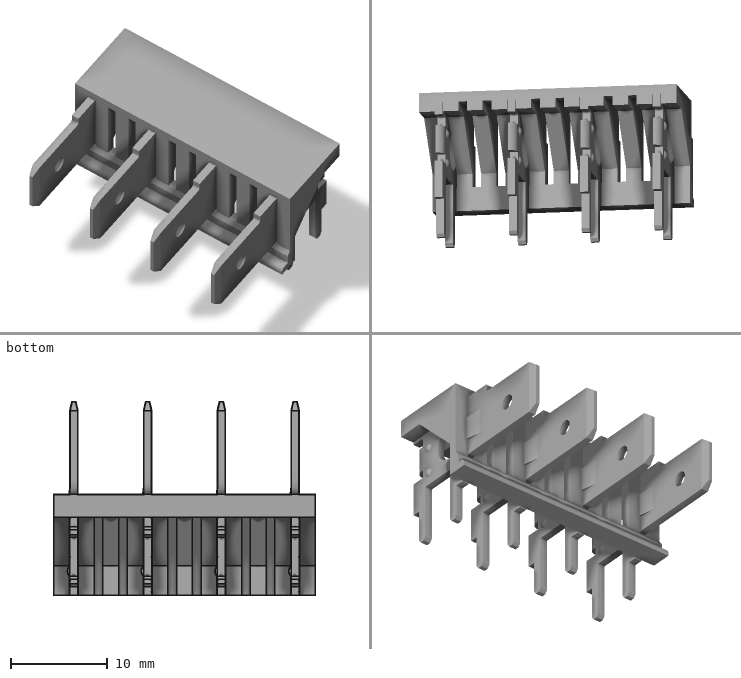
import cadquery as cq
import math


length = 26.98
housing_height = 10.9
housing_depth = 9.0
roof_end_height = 2.0
wall_thickness = 0.95
brace_start = 3.05
step_top = 2.48
step_height = 0.55
step_depth = 0.38
toe_reach = 10.45
toe_height = 0.85
toe_radius = 0.5

slot_count = 10
slot_pitch = 2.54
slot_width = 0.92
slot_top = 9.87
slots_per_terminal = 3

plate_thickness = 0.84
plate_bottom = -0.1
plate_front = housing_depth - wall_thickness
plate_hole_diameter = 4.0
plate_hole_forward = 6.0
pin_tip = -4.1
pin_width = 1.05
rear_pin_start = 0.92
crotch_width = 4.05
crotch_height = 2.4
pin_chamfer_width = 0.27
pin_chamfer_height = 0.35

notch_depth = 1.55
notch_bottom = 3.72
notch_top = 8.6
notch_radius = 0.22
tab_bottom = 4.67
tab_top = 7.55
tab_bend_start = 1.25

bump_diameter = 1.0
bump_height = 0.25
bump_forward = 2.5
bump_spacing = 3.08
bump_middle = 5.45

blade_bottom = 2.78
blade_top = 8.98
blade_middle = (blade_bottom + blade_top) / 2
blade_tip = 20.0
blade_tip_length = 0.95
blade_corner = 0.73
blade_bevel = 0.22
blade_hole_diameter = 1.65
blade_hole_forward = 15.45
shoulder_end = 11.98
shoulder_radius = 0.25

barb_start = 9.07
barb_end = 11.1
barb_height = 0.25
barb_start_width = 2.62
barb_end_width = 3.02

arc_middle_inset = 1 - math.sqrt(0.5)


def slot_x(index):
    """X of the middle of a slot, counted from the -X end."""
    return (index - (slot_count - 1) / 2) * slot_pitch


def side_plane(x):
    """Plane at x with axes (forward, up) that extrudes toward -X."""
    return cq.Workplane(cq.Plane(origin=(x, 0, 0), xDir=(0, -1, 0), normal=(-1, 0, 0)))


def side_block(forward_start, forward_end, bottom, top, width):
    """Rectangular block centred on X = 0."""
    block = side_plane(0).moveTo(forward_start, bottom)
    block = block.lineTo(forward_end, bottom).lineTo(forward_end, top).lineTo(forward_start, top)
    return block.close().extrude(width / 2, both=True)


def make_housing():
    roof_underside = housing_height - roof_end_height
    brace_bottom = roof_underside - (plate_front - brace_start)
    step_front = housing_depth + step_depth
    arc_offset = toe_radius * arc_middle_inset
    body = (
        side_plane(0)
        .moveTo(0, housing_height)
        .lineTo(housing_depth, housing_height)
        .lineTo(housing_depth, step_top)
        .lineTo(step_front, step_top - step_height)
        .lineTo(step_front, toe_height)
        .lineTo(toe_reach - toe_radius, toe_height)
        .threePointArc(
            (toe_reach - arc_offset, toe_height - arc_offset),
            (toe_reach, toe_height - toe_radius),
        )
        .lineTo(toe_reach, 0)
        .lineTo(plate_front, 0)
        .lineTo(plate_front, brace_bottom)
        .lineTo(brace_start, roof_underside)
        .lineTo(0, roof_underside)
        .close()
        .extrude(length / 2, both=True)
    )
    slot = side_block(0, housing_depth, step_top, slot_top, slot_width)
    for index in range(slot_count):
        body = body.cut(slot.translate((slot_x(index), 0, 0)))
    return body


def make_pin(start):
    end = start + pin_width
    chamfer_top = pin_tip + pin_chamfer_height
    return (
        side_plane(0)
        .moveTo(start, crotch_height)
        .lineTo(start, chamfer_top)
        .lineTo(start + pin_chamfer_width, pin_tip)
        .lineTo(end - pin_chamfer_width, pin_tip)
        .lineTo(end, chamfer_top)
        .lineTo(end, crotch_height)
        .close()
        .extrude(plate_thickness / 2, both=True)
    )


def make_plate():
    plate = side_block(0, plate_front, plate_bottom, slot_top, plate_thickness)
    crotch_start = rear_pin_start + pin_width
    crotch_end = crotch_start + crotch_width
    plate = plate.cut(
        side_block(crotch_start, crotch_end, plate_bottom, crotch_height, plate_thickness)
    )
    plate = plate.union(make_pin(rear_pin_start)).union(make_pin(crotch_end))

    lower_notch = side_block(0, notch_depth, notch_bottom, tab_bottom, plate_thickness)
    upper_notch = side_block(0, notch_depth, tab_top, notch_top, plate_thickness)
    upper_notch = upper_notch.edges("|X and <Y").fillet(notch_radius)
    tab_space = side_block(0, tab_bend_start, tab_bottom, tab_top, plate_thickness)
    plate = plate.cut(lower_notch).cut(upper_notch).cut(tab_space)

    hole = (
        side_plane(0)
        .center(plate_hole_forward, blade_middle)
        .circle(plate_hole_diameter / 2)
        .extrude(plate_thickness, both=True)
    )
    return plate.cut(hole)


def make_bent_tab():
    """Quarter-round bend that turns the tab toward +X."""
    bend_axis = (plate_thickness / 2, -tab_bend_start)
    bend = (
        cq.Workplane("XY")
        .workplane(offset=tab_bottom)
        .center(*bend_axis)
        .circle(plate_thickness)
        .extrude(tab_top - tab_bottom)
    )
    corner = side_block(0, tab_bend_start, tab_bottom, tab_top, plate_thickness)
    return bend.intersect(corner)


def make_bump(height):
    """Spherical cap on the -X face of the plate."""
    base_radius = bump_diameter / 2
    rim_x = -plate_thickness / 2
    half_angle = math.atan2(bump_height, base_radius)
    sphere_radius = (base_radius**2 + bump_height**2) / (2 * bump_height)
    cap = (
        cq.Workplane("XY")
        .moveTo(rim_x, 0)
        .lineTo(rim_x, base_radius)
        .threePointArc(
            (
                rim_x - bump_height + sphere_radius * (1 - math.cos(half_angle)),
                sphere_radius * math.sin(half_angle),
            ),
            (rim_x - bump_height, 0),
        )
        .close()
        .revolve(360, (0, 0, 0), (1, 0, 0))
    )
    return cap.translate((0, -bump_forward, height))


def make_blade():
    tip_start = blade_tip - blade_tip_length
    fillet_offset = shoulder_radius * arc_middle_inset
    outline = (
        side_plane(0)
        .moveTo(plate_front, blade_bottom)
        .lineTo(tip_start, blade_bottom)
        .lineTo(blade_tip, blade_bottom + blade_corner)
        .lineTo(blade_tip, blade_top - blade_corner)
        .lineTo(tip_start, blade_top)
        .lineTo(shoulder_end + shoulder_radius, blade_top)
        .threePointArc(
            (shoulder_end + fillet_offset, blade_top + fillet_offset),
            (shoulder_end, blade_top + shoulder_radius),
        )
        .lineTo(shoulder_end, slot_top)
        .lineTo(plate_front, slot_top)
        .close()
        .extrude(plate_thickness / 2, both=True)
    )
    half_thickness = plate_thickness / 2
    tip_half_thickness = half_thickness - blade_bevel
    bevelled_space = (
        cq.Workplane("XY")
        .workplane(offset=blade_bottom)
        .moveTo(-half_thickness, 0)
        .lineTo(-half_thickness, -tip_start)
        .lineTo(-tip_half_thickness, -blade_tip)
        .lineTo(tip_half_thickness, -blade_tip)
        .lineTo(half_thickness, -tip_start)
        .lineTo(half_thickness, 0)
        .close()
        .extrude(slot_top - blade_bottom)
    )
    hole = (
        side_plane(0)
        .center(blade_hole_forward, blade_middle)
        .circle(blade_hole_diameter / 2)
        .extrude(plate_thickness, both=True)
    )
    return outline.intersect(bevelled_space).cut(hole)


def make_barb():
    """Lanced wedge on the -X face, highest next to the housing."""
    face_x = -plate_thickness / 2
    outline = (
        side_plane(face_x)
        .moveTo(barb_start, blade_middle - barb_start_width / 2)
        .lineTo(barb_end, blade_middle - barb_end_width / 2)
        .lineTo(barb_end, blade_middle + barb_end_width / 2)
        .lineTo(barb_start, blade_middle + barb_start_width / 2)
        .close()
        .extrude(barb_height)
    )
    wedge = (
        cq.Workplane("XY")
        .workplane(offset=blade_bottom)
        .moveTo(face_x, -barb_start)
        .lineTo(face_x - barb_height, -barb_start)
        .lineTo(face_x, -barb_end)
        .close()
        .extrude(blade_top - blade_bottom)
    )
    return outline.intersect(wedge)


def make_terminal():
    terminal = make_plate().union(make_blade()).union(make_bent_tab()).union(make_barb())
    for side in (-1, 1):
        terminal = terminal.union(make_bump(bump_middle + side * bump_spacing / 2))
    return terminal


result = make_housing()
terminal = make_terminal()
for slot_index in range(0, slot_count, slots_per_terminal):
    result = result.union(terminal.translate((slot_x(slot_index), 0, 0)))